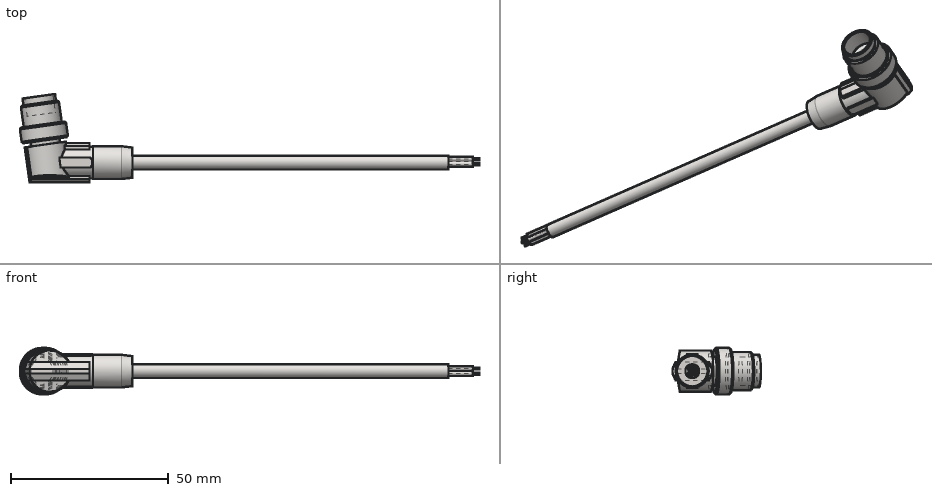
import cadquery as cq
import math

OVERALL_LENGTH = 145.7
PLUG_LEAN = 8.0

BODY_RADIUS = 6.5
BODY_BOTTOM = -8.7
BODY_TOP = 5.8
NECK_RADIUS = 4.7
RING_RADIUS = 7.5
RING_BOTTOM = 7.1
RING_TOP = 12.2
RING_CHAMFER = 0.6
THREAD_RADIUS = 6.1
THREAD_TOP = 19.1
THREAD_CHAMFER = 0.6
TIP_RADIUS = 5.2
TIP_TOP = 21.3
SOCKET_RADIUS = 4.5
SOCKET_DEPTH = 5.8

PLUG_AXIS_X = (
    (RING_TOP - RING_CHAMFER) * math.sin(math.radians(PLUG_LEAN))
    + RING_RADIUS * math.cos(math.radians(PLUG_LEAN))
)

ROOF_RIDGE = 5.1
ROOF_PITCH = 10.0

CREST_HALF_WIDTH = 0.7
RIB_HALF_WIDTH = 2.9
CABLE_RIB_HEIGHT = 6.3
CABLE_RIB_SHOULDER = 5.2
BODY_RIB_HEIGHT = 6.7
BODY_RIB_SHOULDER = 6.0
RIB_END = 22.1

SLEEVE_RADIUS = 5.1
GRIP_START = 23.2
GRIP_RADIUS = 5.2
TAPER_START = 32.2
SLEEVE_END = 35.7
SLEEVE_END_RADIUS = 4.8
PAD_HALF_WIDTH = 1.6
PAD_HEIGHT = 5.4
PAD_END = 22.9
PAD_CORNER = 0.6

CABLE_RADIUS = 2.2
CABLE_END = 135.8
CORE_RADIUS = 0.8
CORE_END = 143.5
CORE_OFFSET_Y = 0.3
CONDUCTOR_RADIUS = 0.36
OVERLAP = 1.5


def place_on_plug_axis(shape):
    """Move a shape built along +Y about the origin onto the leaning plug axis."""
    return shape.rotate((0, 0, 0), (0, 0, 1), PLUG_LEAN).translate((PLUG_AXIS_X, 0, 0))


def turned_plug():
    """Body, neck, coupling ring, thread and hollow tip, turned about the plug axis."""
    profile = [
        (0, BODY_BOTTOM),
        (BODY_RADIUS, BODY_BOTTOM),
        (BODY_RADIUS, BODY_TOP),
        (NECK_RADIUS, BODY_TOP),
        (NECK_RADIUS, RING_BOTTOM),
        (RING_RADIUS - RING_CHAMFER, RING_BOTTOM),
        (RING_RADIUS, RING_BOTTOM + RING_CHAMFER),
        (RING_RADIUS, RING_TOP - RING_CHAMFER),
        (RING_RADIUS - RING_CHAMFER, RING_TOP),
        (THREAD_RADIUS, RING_TOP),
        (THREAD_RADIUS, THREAD_TOP - THREAD_CHAMFER),
        (THREAD_RADIUS - THREAD_CHAMFER, THREAD_TOP),
        (TIP_RADIUS, THREAD_TOP),
        (TIP_RADIUS, TIP_TOP),
        (SOCKET_RADIUS, TIP_TOP),
        (SOCKET_RADIUS, TIP_TOP - SOCKET_DEPTH),
        (0, TIP_TOP - SOCKET_DEPTH),
    ]
    return cq.Workplane("XY").polyline(profile).close().revolve(360, (0, 0), (0, 1))


def rib_outline(height, shoulder, base=0.0):
    """Closed cross-section of a rib as (distance from its axis, position across) points."""
    half = [(base, RIB_HALF_WIDTH), (shoulder, RIB_HALF_WIDTH), (height, CREST_HALF_WIDTH)]
    return half + [(distance, -across) for distance, across in reversed(half)]


def body_rib(top, bottom, base=0.0):
    """Rib on the back of the plug, along +Y about the origin, between two heights."""
    outline = rib_outline(BODY_RIB_HEIGHT, BODY_RIB_SHOULDER, base)
    return (
        cq.Workplane("XZ", origin=(0, top, 0))
        .polyline([(-distance, across) for distance, across in outline])
        .close()
        .extrude(top - bottom)
    )


def plug_body():
    """Turned plug with a rib along its back, its lower end trimmed to a shallow roof."""
    back_rib = body_rib(BODY_TOP, BODY_BOTTOM)
    plug = place_on_plug_axis(turned_plug().union(back_rib))

    roof_reach = 2 * BODY_RADIUS
    roof_eave = ROOF_RIDGE - roof_reach * math.tan(math.radians(ROOF_PITCH))
    kept_outline = [
        (-ROOF_RIDGE, 0),
        (-roof_eave, roof_reach),
        (2 * TIP_TOP, roof_reach),
        (2 * TIP_TOP, -roof_reach),
        (-roof_eave, -roof_reach),
    ]
    kept = (
        cq.Workplane("YZ", origin=(-OVERALL_LENGTH / 2, 0, 0))
        .polyline(kept_outline)
        .close()
        .extrude(OVERALL_LENGTH)
    )
    return plug.intersect(kept)


def cable_rib(start, side):
    """Rib along the cable, on the +Y (side = 1) or -Y (side = -1) face."""
    outline = rib_outline(CABLE_RIB_HEIGHT, CABLE_RIB_SHOULDER)
    return (
        cq.Workplane("YZ", origin=(start, 0, 0))
        .polyline([(side * distance, across) for distance, across in outline])
        .close()
        .extrude(RIB_END - start)
    )


def cable_ribs():
    """Ribs on both sides of the cable; the -Y one is mitred into the rib on the plug's back."""
    mitre = place_on_plug_axis(body_rib(BODY_TOP, -2 * BODY_RADIUS, base=-2 * RIB_END))
    front_rib = cable_rib(PLUG_AXIS_X - 2 * BODY_RADIUS, -1).intersect(mitre)
    return front_rib.union(cable_rib(PLUG_AXIS_X, 1))


def pads():
    """Flat raised pads on the top and bottom of the sleeve, with clipped corners at the end."""
    return (
        cq.Workplane("XY")
        .box(PAD_END - PLUG_AXIS_X, 2 * PAD_HALF_WIDTH, 2 * PAD_HEIGHT, centered=(False, True, True))
        .edges("|Z and >X")
        .chamfer(PAD_CORNER)
        .translate((PLUG_AXIS_X, 0, 0))
    )


def sleeve():
    """Round sleeve around the cable with a thicker grip, a tapered end and two raised pads."""
    profile = [
        (PLUG_AXIS_X, 0),
        (PLUG_AXIS_X, SLEEVE_RADIUS),
        (GRIP_START, SLEEVE_RADIUS),
        (GRIP_START, GRIP_RADIUS),
        (TAPER_START, GRIP_RADIUS),
        (SLEEVE_END, SLEEVE_END_RADIUS),
        (SLEEVE_END, 0),
    ]
    turned = cq.Workplane("XY").polyline(profile).close().revolve(360, (0, 0), (1, 0))
    return turned.union(pads())


def rod(start, end, radius, y=0.0, z=0.0):
    """Round rod parallel to X."""
    return cq.Workplane("YZ", origin=(start, y, z)).circle(radius).extrude(end - start)


def cable():
    """Cable jacket with four stripped cores in a square bundle."""
    wires = rod(SLEEVE_END - OVERLAP, CABLE_END, CABLE_RADIUS)
    for side_y in (1, -1):
        for side_z in (1, -1):
            y = CORE_OFFSET_Y + side_y * CORE_RADIUS
            z = side_z * CORE_RADIUS
            wires = wires.union(rod(CABLE_END - OVERLAP, CORE_END, CORE_RADIUS, y, z))
            wires = wires.union(rod(CORE_END - OVERLAP, OVERALL_LENGTH, CONDUCTOR_RADIUS, y, z))
    return wires


result = plug_body().union(sleeve()).union(cable_ribs()).union(cable())